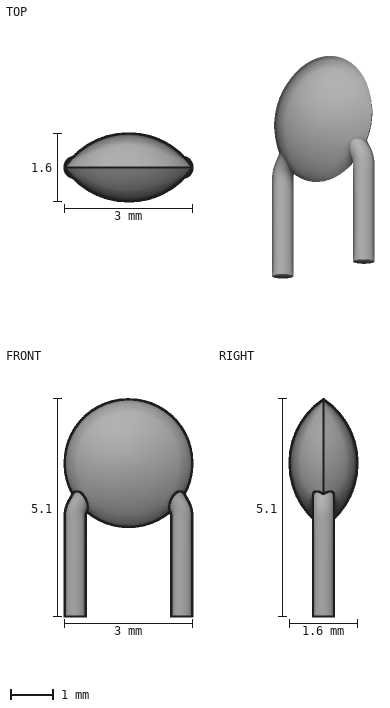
import cadquery as cq
import math

body_diameter = 3.0
body_thickness = 1.6
body_radius = body_diameter / 2
half_thickness = body_thickness / 2

overall_height = 5.1
lead_diameter = 0.5
lead_pitch = body_diameter - lead_diameter
lead_straight_length = 2.35
bend_radius = 0.5
bend_angle = 30.0
embedded_length = 0.6

body_center_z = overall_height - body_radius


def make_body():
    """Revolve half of a two-arc lens section about the Y axis."""
    sphere_radius = (body_radius**2 + half_thickness**2) / (2 * half_thickness)
    sphere_offset = sphere_radius - half_thickness
    mid_x = body_radius / 2
    mid_y = math.sqrt(sphere_radius**2 - mid_x**2) - sphere_offset
    return (
        cq.Workplane("XY")
        .moveTo(0, -half_thickness)
        .threePointArc((mid_x, -mid_y), (body_radius, 0))
        .threePointArc((mid_x, mid_y), (0, half_thickness))
        .close()
        .revolve(360, (0, 0, 0), (0, 1, 0))
        .translate((0, 0, body_center_z))
    )


def make_lead(side):
    """Sweep one lead; side is -1 for the -X lead and +1 for the +X lead."""
    angle = math.radians(bend_angle)

    def bend_point(turn):
        inward = bend_radius * (1 - math.cos(turn))
        rise = bend_radius * math.sin(turn)
        return side * (lead_pitch / 2 - inward), lead_straight_length + rise

    start_x = side * lead_pitch / 2
    bend_end_x, bend_end_z = bend_point(angle)
    tip = (
        bend_end_x - side * embedded_length * math.sin(angle),
        bend_end_z + embedded_length * math.cos(angle),
    )
    path = (
        cq.Workplane("XZ")
        .moveTo(start_x, 0)
        .lineTo(start_x, lead_straight_length)
        .threePointArc(bend_point(angle / 2), (bend_end_x, bend_end_z))
        .lineTo(*tip)
    )
    return cq.Workplane("XY").center(start_x, 0).circle(lead_diameter / 2).sweep(path)


result = make_body()
for lead_side in (-1, 1):
    result = result.union(make_lead(lead_side))